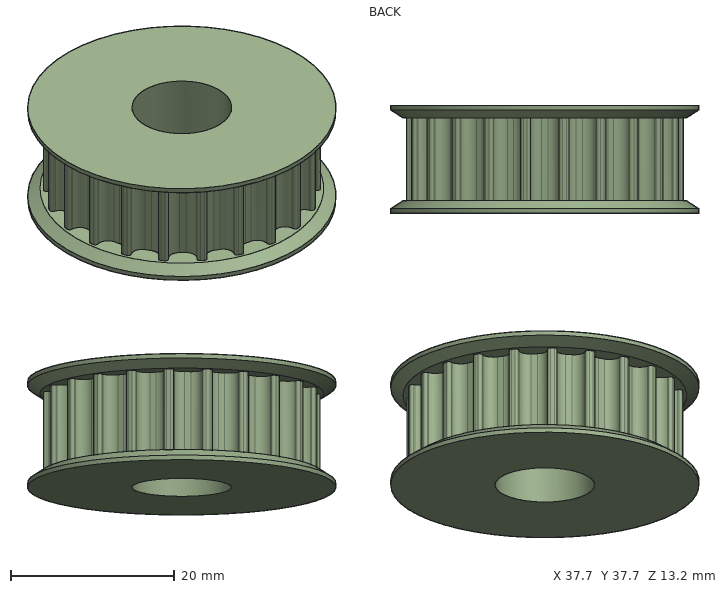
import cadquery as cq
import math

flange_diameter = 37.73
bore_diameter = 12.2
total_height = 13.2

flange_thickness = 1.55
rim_thickness = 0.55
cone_inner_diameter = 34.7

groove_count = 22
body_diameter = 33.9
groove_depth = 2.05
groove_width = 3.5
groove_corner_radius = 1.35
tip_radius = 0.38

flange_radius = flange_diameter / 2
cone_inner_radius = cone_inner_diameter / 2
body_radius = body_diameter / 2
body_height = total_height - 2 * flange_thickness


def make_flange():
    """Flange with its flat outer face at Z = 0 and its cone facing up."""
    half_profile = [
        (0, 0),
        (flange_radius, 0),
        (flange_radius, rim_thickness),
        (cone_inner_radius, flange_thickness),
        (0, flange_thickness),
    ]
    return cq.Workplane("XZ").polyline(half_profile).close().revolve(360, (0, 0, 0), (0, 1, 0))


def make_groove_cutter():
    """Cutter for the groove on the +X side, flared at its mouth to round the tooth tips."""
    floor_x = body_radius - groove_depth
    wall_y = groove_width / 2
    floor_y = wall_y - groove_corner_radius
    wall_start_x = floor_x + groove_corner_radius

    tip_center_y = wall_y + tip_radius
    tip_center_distance = body_radius - tip_radius
    tip_center_x = math.sqrt(tip_center_distance**2 - tip_center_y**2)
    tip_angle = math.asin(tip_center_y / tip_center_distance)
    tip_end_x = body_radius * math.cos(tip_angle)
    tip_end_y = body_radius * math.sin(tip_angle)

    tip_middle_angle = (tip_angle - math.pi / 2) / 2
    tip_middle_x = tip_center_x + tip_radius * math.cos(tip_middle_angle)
    tip_middle_y = tip_center_y + tip_radius * math.sin(tip_middle_angle)

    corner_middle_offset = groove_corner_radius * math.sqrt(0.5)
    corner_middle_x = wall_start_x - corner_middle_offset
    corner_middle_y = floor_y + corner_middle_offset

    return (
        cq.Workplane("XY")
        .moveTo(floor_x, -floor_y)
        .lineTo(floor_x, floor_y)
        .threePointArc((corner_middle_x, corner_middle_y), (wall_start_x, wall_y))
        .lineTo(tip_center_x, wall_y)
        .threePointArc((tip_middle_x, tip_middle_y), (tip_end_x, tip_end_y))
        .lineTo(flange_radius, tip_end_y)
        .lineTo(flange_radius, -tip_end_y)
        .lineTo(tip_end_x, -tip_end_y)
        .threePointArc((tip_middle_x, -tip_middle_y), (tip_center_x, -wall_y))
        .lineTo(wall_start_x, -wall_y)
        .threePointArc((corner_middle_x, -corner_middle_y), (floor_x, -floor_y))
        .close()
        .extrude(body_height)
    )


def make_toothed_body():
    """Toothed body standing on Z = 0, with one groove centred on the -Y side."""
    body = cq.Workplane("XY").circle(body_radius).extrude(body_height)
    cutter = make_groove_cutter()
    for index in range(groove_count):
        angle = -90 + index * 360 / groove_count
        body = body.cut(cutter.rotate((0, 0, 0), (0, 0, 1), angle))
    return body


bottom_flange = make_flange().translate((0, 0, -total_height / 2))
top_flange = bottom_flange.mirror("XY")
toothed_body = make_toothed_body().translate((0, 0, -body_height / 2))
bore = cq.Workplane("XY").circle(bore_diameter / 2).extrude(total_height / 2, both=True)

result = toothed_body.union(bottom_flange).union(top_flange).cut(bore)